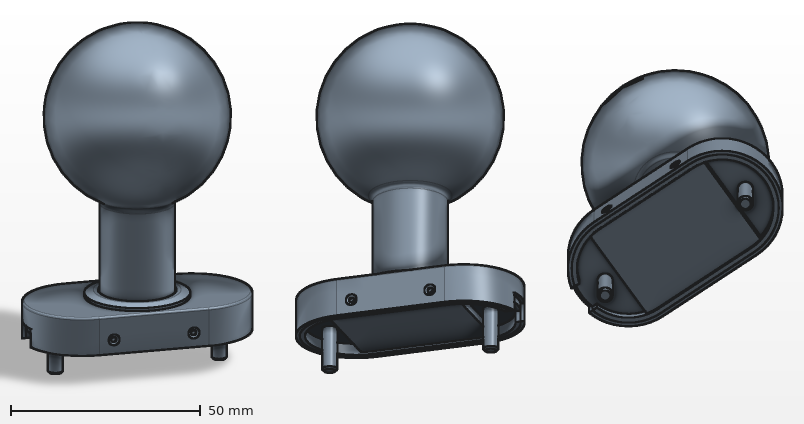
import cadquery as cq
import math

base_width = 31.9
base_length = 62.0
base_height = 10.5
wall = 1.0
edge_fillet = 0.6

rim_wall = 1.4
underside_recess = 0.75
pocket_height = 3.1
pocket_inner_y = 18.3

notch_width = 8.15
notch_height = 5.1

pin_diameter = 4.0
pin_y = 22.5
pin_drop = 8.9
pin_top = 6.6
pin_chamfer = 0.6

screw_diameter = 3.0
screw_length = 3.75
screw_y = 11.0
screw_z = 3.9
bore_diameter = 1.4
bore_depth = 0.4
cup_depth = 0.3
point_depth = bore_diameter / 4

flange_diameter = 28.0
flange_top_diameter = 23.1
flange_bore = 20.6
flange_rim_height = 0.8
flange_height = 1.6

ball_diameter = 49.6
stem_diameter = 20.0
neck_fillet = 2.0
total_height = 93.7

cavity_width = base_width - 2 * wall
cavity_length = base_length - 2 * wall
cavity_height = base_height - wall
wall_x = base_width / 2


def stadium(length, width, height):
    """Upright block with semicircular ends, long in Y, standing on Z = 0."""
    return cq.Workplane("XY").slot2D(length, width, 90).extrude(height)


def notch(height):
    """Rectangular cutter that runs from the -Y end back to the pin axis."""
    depth = base_length / 2 - pin_y
    return (
        cq.Workplane("XY")
        .box(notch_width, depth, height, centered=(True, False, False))
        .translate((0, -base_length / 2, 0))
    )


def round_bar(diameter, bottom, top):
    """Upright cylinder on the Z axis."""
    return cq.Workplane("XY").workplane(offset=bottom).circle(diameter / 2).extrude(top - bottom)


def screw_places():
    """Axis direction (-1 or +1 along X) and Y position of every set screw."""
    return [(side, y) for side in (-1, 1) for y in (-screw_y, screw_y)]


def screw_envelope(side, y):
    """Plain cylinder that one set screw occupies, flush with the housing side."""
    return (
        cq.Workplane("YZ", origin=(side * wall_x, 0, 0))
        .center(y, screw_z)
        .circle(screw_diameter / 2)
        .extrude(-side * screw_length)
    )


def make_housing():
    body = stadium(base_length, base_width, base_height).faces(">Z").edges().fillet(edge_fillet)
    body = body.cut(stadium(cavity_length, cavity_width, cavity_height))
    body = body.cut(notch(notch_height))
    for side, y in screw_places():
        body = body.cut(screw_envelope(side, y))
    return body


def make_insert():
    inner_length = cavity_length - 2 * rim_wall
    inner_width = cavity_width - 2 * rim_wall
    body = stadium(cavity_length, cavity_width, cavity_height)
    body = body.cut(stadium(inner_length, inner_width, underside_recess))
    middle = cq.Workplane("XY").box(
        base_width, 2 * pocket_inner_y, pocket_height, centered=(True, True, False)
    )
    body = body.cut(stadium(inner_length, inner_width, pocket_height).cut(middle))
    body = body.cut(notch(pocket_height))
    for y in (-pin_y, pin_y):
        body = body.cut(round_bar(pin_diameter, 0, pin_top).translate((0, y, 0)))
    for side, y in screw_places():
        body = body.cut(screw_envelope(side, y))
    return body


def make_pin(y):
    pin = round_bar(pin_diameter, -pin_drop, pin_top).faces("<Z").chamfer(pin_chamfer)
    return pin.translate((0, y, 0))


def make_set_screw(side, y):
    """Screw with a conical cup and a short drilled bore in its outer end."""
    cup_and_bore = (
        cq.Workplane("XY")
        .moveTo(0, 0)
        .lineTo(0, screw_diameter / 2)
        .lineTo(cup_depth, bore_diameter / 2)
        .lineTo(cup_depth + bore_depth, bore_diameter / 2)
        .lineTo(cup_depth + bore_depth + point_depth, 0)
        .close()
        .revolve(360, (0, 0, 0), (1, 0, 0))
    )
    if side > 0:
        cup_and_bore = cup_and_bore.mirror("YZ")
    return screw_envelope(side, y).cut(cup_and_bore.translate((side * wall_x, y, screw_z)))


def make_flange():
    return (
        cq.Workplane("XZ")
        .moveTo(flange_bore / 2, 0)
        .lineTo(flange_diameter / 2, 0)
        .lineTo(flange_diameter / 2, flange_rim_height)
        .lineTo(flange_top_diameter / 2, flange_height)
        .lineTo(flange_bore / 2, flange_height)
        .close()
        .revolve(360, (0, 0, 0), (0, 1, 0))
        .translate((0, 0, base_height))
    )


def make_knob():
    """Ball and stem in one piece, joined by a fillet tangent to both."""
    ball_radius = ball_diameter / 2
    stem_radius = stem_diameter / 2
    ball_top = total_height - pin_drop
    ball_z = ball_top - ball_radius

    fillet_x = stem_radius + neck_fillet
    fillet_z = ball_z - math.sqrt((ball_radius + neck_fillet) ** 2 - fillet_x**2)
    lean = math.atan2(ball_z - fillet_z, fillet_x)
    tangent_point = (ball_radius * math.cos(lean), ball_z - ball_radius * math.sin(lean))
    mid_angle = math.pi - lean / 2
    fillet_middle = (
        fillet_x + neck_fillet * math.cos(mid_angle),
        fillet_z + neck_fillet * math.sin(mid_angle),
    )

    return (
        cq.Workplane("XZ")
        .moveTo(0, base_height)
        .lineTo(stem_radius, base_height)
        .lineTo(stem_radius, fillet_z)
        .threePointArc(fillet_middle, tangent_point)
        .threePointArc((ball_radius, ball_z), (0, ball_top))
        .close()
        .revolve(360, (0, 0, 0), (0, 1, 0))
    )


housing = make_housing()
insert = make_insert()
flange = make_flange()
knob = make_knob()
pins = [make_pin(y) for y in (-pin_y, pin_y)]
set_screws = [make_set_screw(side, y) for side, y in screw_places()]

result = cq.Compound.makeCompound(
    [
        housing.val(),
        insert.val(),
        flange.val(),
        knob.val(),
        *[pin.val() for pin in pins],
        *[screw.val() for screw in set_screws],
    ]
)